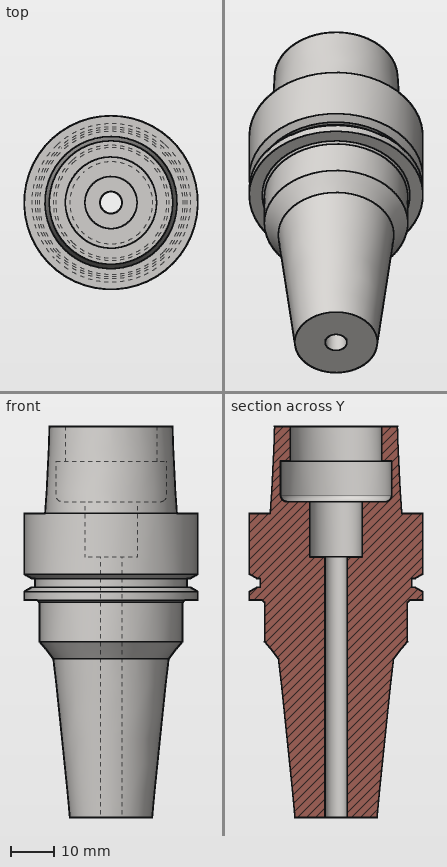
import cadquery as cq
import math

total_length = 90.0
gauge_plane = 70.0
groove_top = 56.0
groove_bottom = 52.0
flange_bottom = 50.0
collar_bottom = 40.5
nose_top = 36.5

flange_diameter = 40.0
groove_diameter = 35.0
collar_diameter = 33.0
shank_base_diameter = 30.4
shank_end_diameter = 28.4
nose_top_diameter = 26.6
nose_end_diameter = 19.0

relief = 0.5

flank_height = 1.0
flank_angle = 30.0
flank_depth = flank_height / math.tan(math.radians(flank_angle))

mouth_diameter = 21.0
mouth_depth = 8.0
chamber_diameter = 25.5
chamber_fillet = 1.5
chamber_depth = 17.3
pilot_diameter = 12.0
pilot_depth = 30.0
through_diameter = 5.0


def make_body():
    """Solid of revolution bounded by the outside of the holder."""
    flange_radius = flange_diameter / 2
    groove_radius = groove_diameter / 2
    collar_radius = collar_diameter / 2
    ledge_radius = flange_radius - flank_depth
    lower_ledge = groove_bottom + flank_height
    upper_ledge = groove_top - flank_height
    outline = [
        (0, 0),
        (nose_end_diameter / 2, 0),
        (nose_top_diameter / 2, nose_top),
        (collar_radius, collar_bottom),
        (collar_radius, flange_bottom - relief),
        (collar_radius + relief, flange_bottom),
        (flange_radius, flange_bottom),
        (flange_radius, groove_bottom),
        (ledge_radius, lower_ledge),
        (groove_radius, lower_ledge),
        (groove_radius, upper_ledge),
        (ledge_radius, upper_ledge),
        (flange_radius, groove_top),
        (flange_radius, gauge_plane),
        (shank_base_diameter / 2, gauge_plane),
        (shank_end_diameter / 2, total_length),
        (0, total_length),
    ]
    return cq.Workplane("YZ").polyline(outline).close().revolve(360, (0, 0), (0, 1))


def bore(diameter, start_depth, end_depth):
    """Cylinder on the axis between two depths below the shank end."""
    floor = cq.Workplane("XY").workplane(offset=total_length - end_depth)
    return floor.circle(diameter / 2).extrude(end_depth - start_depth)


def make_chamber():
    """Undercut behind the mouth, with a rounded floor corner."""
    return bore(chamber_diameter, mouth_depth, chamber_depth).faces("<Z").edges().fillet(chamber_fillet)


result = (
    make_body()
    .cut(bore(mouth_diameter, 0, mouth_depth))
    .cut(make_chamber())
    .cut(bore(pilot_diameter, chamber_depth, pilot_depth))
    .cut(bore(through_diameter, pilot_depth, total_length))
)